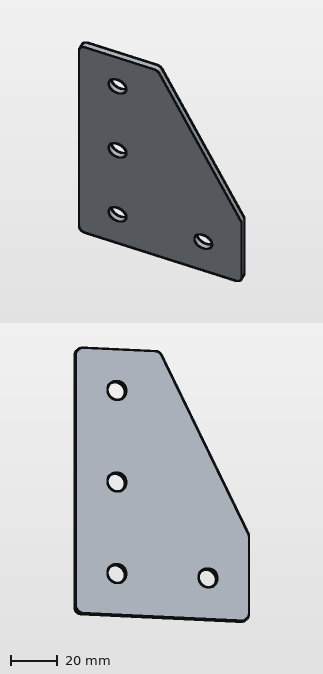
import cadquery as cq

width = 76.0
thickness = 3.0
height = 116.0

top_edge_width = 36.8
right_edge_height = 37.6
corner_radius = 3.0

hole_diameter = 8.2
hole_margin = 18.0
hole_pitch = 40.0
holes_up = 3
holes_across = 2

outline = [
    (0, 0),
    (width, 0),
    (width, right_edge_height),
    (top_edge_width, height),
    (0, height),
]

upright_holes = [(hole_margin, hole_margin + row * hole_pitch) for row in range(holes_up)]
foot_holes = [(hole_margin + column * hole_pitch, hole_margin) for column in range(1, holes_across)]

plate = cq.Workplane("XZ").polyline(outline).close().extrude(-thickness)
plate = plate.edges("|Y").fillet(corner_radius)

hole_cutters = (
    cq.Workplane("XZ")
    .pushPoints(upright_holes + foot_holes)
    .circle(hole_diameter / 2)
    .extrude(-thickness)
)

result = plate.cut(hole_cutters)